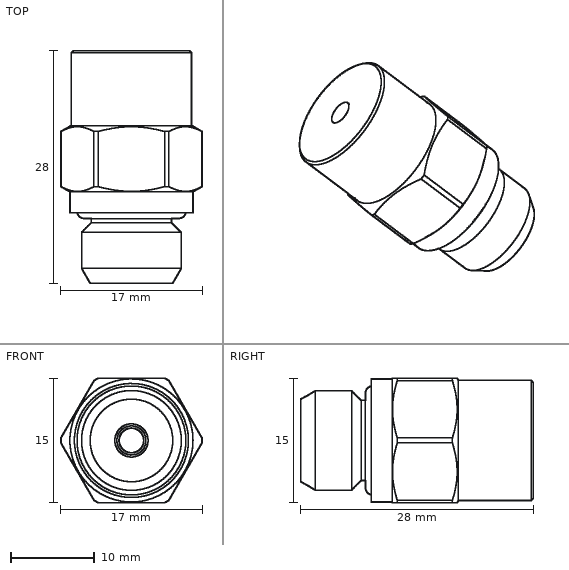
import cadquery as cq
import math

total_length = 28.0
tip_chamfer_end = 1.8
spigot_end = 6.13
collar_front = 8.48
hex_front = 11.0
hex_rear = 18.98

spigot_diameter = 12.0
neck_diameter = 9.7
collar_diameter = 14.8
body_diameter = 14.5
hex_sides = 6
across_flats = 15.0
across_corners = 17.0

tip_chamfer_angle = 30.0
hex_chamfer_angle = 30.0
rear_chamfer = 0.28

groove_diameter = 13.72
ring_outer_diameter = 13.1
ring_center_y = 8.65

front_bore_diameter = 4.0
front_bore_depth = collar_front
countersink_diameter = 3.5
through_bore_diameter = 2.95


def revolve_profile(profile):
    """Turn a closed (radius, y) half-profile about the Y axis."""
    return profile.close().revolve(360, (0, 0, 0), (0, 1, 0))


def turned_body():
    """Spigot, neck, sealing ring, collar and rear cylinder."""
    spigot_radius = spigot_diameter / 2
    neck_radius = neck_diameter / 2
    collar_radius = collar_diameter / 2
    body_radius = body_diameter / 2
    ring_outer_radius = ring_outer_diameter / 2
    ring_mid_radius = (ring_outer_radius + neck_radius) / 2
    ring_section_radius = (ring_outer_radius - neck_radius) / 2
    groove_radius = groove_diameter / 2
    groove_bottom = collar_front + groove_radius - ring_outer_radius
    tip_radius = spigot_radius - tip_chamfer_end * math.tan(math.radians(tip_chamfer_angle))
    neck_start = spigot_end + spigot_radius - neck_radius

    profile = (
        cq.Workplane("XY")
        .lineTo(tip_radius, 0)
        .lineTo(spigot_radius, tip_chamfer_end)
        .lineTo(spigot_radius, spigot_end)
        .lineTo(neck_radius, neck_start)
        .lineTo(neck_radius, ring_center_y)
        .threePointArc(
            (ring_mid_radius, ring_center_y - ring_section_radius),
            (ring_outer_radius, ring_center_y),
        )
        .lineTo(ring_outer_radius, groove_bottom)
        .lineTo(groove_radius, collar_front)
        .lineTo(collar_radius, collar_front)
        .lineTo(collar_radius, hex_front)
        .lineTo(body_radius, hex_front)
        .lineTo(body_radius, total_length - rear_chamfer)
        .lineTo(body_radius - rear_chamfer, total_length)
        .lineTo(0, total_length)
    )
    return revolve_profile(profile)


def hex_section():
    """Hexagon with flats facing +Z and -Z, its corners turned and chamfered."""
    corner_radius = across_corners / 2
    hex_corner_diameter = across_flats / math.cos(math.radians(180 / hex_sides))
    slope = math.tan(math.radians(hex_chamfer_angle))
    front_chamfer = (corner_radius - collar_diameter / 2) * slope
    rear_chamfer_length = (corner_radius - body_diameter / 2) * slope

    prism = (
        cq.Workplane("XZ", origin=(0, hex_rear, 0))
        .polygon(hex_sides, hex_corner_diameter)
        .extrude(hex_rear - hex_front)
    )
    turned_envelope = revolve_profile(
        cq.Workplane("XY")
        .moveTo(0, hex_front)
        .lineTo(collar_diameter / 2, hex_front)
        .lineTo(corner_radius, hex_front + front_chamfer)
        .lineTo(corner_radius, hex_rear - rear_chamfer_length)
        .lineTo(body_diameter / 2, hex_rear)
        .lineTo(0, hex_rear)
    )
    return prism.intersect(turned_envelope)


def stepped_bore():
    """Wide front bore, then a 45 degree countersink into the through bore."""
    countersink_radius = countersink_diameter / 2
    through_radius = through_bore_diameter / 2
    countersink_end = front_bore_depth + countersink_radius - through_radius
    return revolve_profile(
        cq.Workplane("XY")
        .lineTo(front_bore_diameter / 2, 0)
        .lineTo(front_bore_diameter / 2, front_bore_depth)
        .lineTo(countersink_radius, front_bore_depth)
        .lineTo(through_radius, countersink_end)
        .lineTo(through_radius, total_length)
        .lineTo(0, total_length)
    )


result = turned_body().union(hex_section()).cut(stepped_bore())